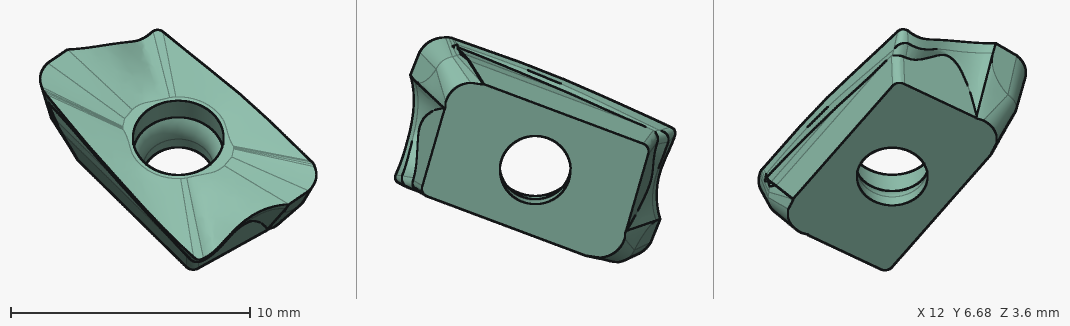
import cadquery as cq
import math


HEIGHT = 3.6
LENGTH = 12.0
WIDTH = 6.68
HALF_LENGTH = LENGTH / 2
HALF_WIDTH = WIDTH / 2

HUB_Z = 2.81
HUB_RADIUS = 2.09
HUB_REACH = 2.33

BORE_RADIUS = 1.48
SEAT_RADIUS = 1.9
SEAT_TOP_Z = 1.6
SEAT_BOTTOM_Z = 0.61
SEAT_STEP = SEAT_RADIUS - BORE_RADIUS
SEAT_ARC_RADIUS = ((SEAT_TOP_Z - SEAT_BOTTOM_Z)**2 + SEAT_STEP**2) / (2 * SEAT_STEP)

SIDE_Y_BOTTOM = 2.7
SIDE_Y_BREAK = 3.01
SIDE_Y_TOP = 3.06
SIDE_BREAK_Z = 1.58
SIDE_TOP_Z = 2.16
SIDE_LEAN = (SIDE_Y_BREAK - SIDE_Y_BOTTOM) / SIDE_BREAK_Z
END_X_MIDDLE = 4.39
END_TWIST = 0.09
END_LEAN = 0.24
SMALL_CORNER = 0.36
NOSE_END_Y = 1.1
NOSE_SIDE_X = 3.35
NOSE_SIDE_LEAN = 0.49

NOSE_X_BREAK = 5.28
NOSE_X_BOTTOM = 4.56
NOSE_BREAK_Z = 1.63
NOSE_RELIEF = (HALF_LENGTH - NOSE_X_BREAK) / (HEIGHT - NOSE_BREAK_Z)

INSET = 0.02
FLOOR_RADIUS = 1.2
CORE_DROP = 0.12
CUT_MARGIN = 0.6


def side_y(z):
    """Distance of the long core wall from the middle at height z."""
    if z <= SIDE_BREAK_Z:
        return SIDE_Y_BOTTOM + SIDE_LEAN * z
    rise = min(z, SIDE_TOP_Z) - SIDE_BREAK_Z
    return SIDE_Y_BREAK + (SIDE_Y_TOP - SIDE_Y_BREAK) * rise / (SIDE_TOP_Z - SIDE_BREAK_Z)


def end_x(y, z):
    """X of the +X end wall of the core, which leans outward and is slightly turned."""
    return END_X_MIDDLE + END_TWIST * y + END_LEAN * z


def nose_x(z):
    """X of the nose flank above its relief break."""
    return -HALF_LENGTH + NOSE_RELIEF * (HEIGHT - z)


def side_root(x, z):
    """Root of the rim just inside the -Y long wall."""
    return (x, INSET - side_y(z), z)


def end_root(y, z):
    """Root of the rim just inside the +X end wall."""
    return (end_x(y, z) - INSET, y, z)


def half_turn(point):
    return (-point[0], -point[1], point[2])


def curve(points):
    """Straight edge through two points, smooth edge through more."""
    vectors = [cq.Vector(*p) for p in points]
    if len(vectors) == 2:
        return cq.Edge.makeLine(*vectors)
    return cq.Edge.makeSpline(vectors)


def ring(spans):
    """Closed ring of edges from the spans of one half, each continuing to the start of the next."""
    starts = [span[0] for span in spans] + [half_turn(spans[0][0])]
    half = [span + [end] for span, end in zip(spans, starts[1:])]
    return [curve(s) for s in half] + [curve([half_turn(p) for p in s]) for s in half]


def ruled_solid(rings):
    """Solid of ruled faces between successive rings, closed by a flat face at both ends."""
    faces = []
    for upper, lower in zip(rings, rings[1:]):
        faces += [cq.Face.makeRuledSurface(a, b) for a, b in zip(upper, lower)]
    for end in (rings[0], rings[-1]):
        faces.append(cq.Face.makeFromWires(cq.Wire.assembleEdges(end)))
    shell = cq.Shell.makeShell(faces)
    return cq.Workplane(obj=cq.Solid.makeSolid(shell.fix()).fix())


cutting_edge = [
    [(-HALF_LENGTH, -1.02, HEIGHT)],
    [(-HALF_LENGTH, -2.1, HEIGHT), (-5.69, -2.77, HEIGHT)],
    [(-5.22, -3.08, HEIGHT)],
    [(-5.1, -3.13, HEIGHT)],
    [(-4.98, -3.15, HEIGHT)],
    [(-4.86, -3.17, 3.55), (-2.89, -3.28, 3.31), (-1.0, -3.34, 3.08), (0, -HALF_WIDTH, 2.96),
     (1.0, -3.34, 2.8), (2.98, -3.29, 2.5)],
    [(4.84, -3.19, 2.33), (5.05, -3.11, 2.3)],
    [(5.14, -2.9, 2.3), (5.14, -2.16, 2.34), (5.15, -1.68, 2.63), (5.18, -1.2, 2.95),
     (5.35, -0.3, 3.38), (5.55, 0.24, 3.53)],
]

rim_bottom = [
    [(nose_x(3.08), -1.01, 3.08), (nose_x(2.51), -1.14, 2.51), (nose_x(1.85), -1.74, 1.85)],
    [(-NOSE_X_BREAK, -2.16, NOSE_BREAK_Z), (-5.14, -2.63, NOSE_BREAK_Z)],
    [(-4.84, -2.9, 1.65)],
    [(-4.68, -2.99, 1.79)],
    [(-4.52, -3.06, 1.95)],
    [(-4.7, -3.11, 3.02), (-2.85, -3.18, 2.89), (-0.95, -3.23, 2.65), (1.05, -3.2, 2.3), (3.07, -3.12, 1.9)],
    [(4.38, -3.06, 1.65), (4.76, -2.98, 1.69)],
    [(4.92, -2.7, 1.76), (4.95, -2.16, 1.82), (4.98, -1.68, 2.1), (5.02, -1.25, 2.44),
     (5.17, -0.3, 2.87), (5.42, 0.42, 3.07)],
]

rim_root = [
    [half_turn(end_root(NOSE_END_Y, 0))],
    [(-NOSE_X_BOTTOM, -1.42, 0), (-4.37, -2.16, 0)],
    [(-3.89, -2.55, 0)],
    [side_root(-NOSE_SIDE_X, 0)],
    [side_root(-4.05, SIDE_BREAK_Z)],
    [side_root(-4.9, 2.78), side_root(0.08, 2.17), side_root(3.12, 1.6)],
    [side_root(4.08, 1.44), (4.39, -2.83, 1.39)],
    [end_root(-2.52, 1.42), end_root(-2.22, 1.46), end_root(-1.88, 1.65), end_root(-1.25, 2.18),
     end_root(-0.61, 2.52), end_root(-0.3, 2.41), end_root(0.24, 1.78), end_root(0.65, 1.01)],
]


def circle_point(radius, angle, z):
    a = math.radians(angle)
    return (radius * math.cos(a), radius * math.sin(a), z)


def hub_points(*angles):
    return [circle_point(HUB_RADIUS, angle, HUB_Z) for angle in angles]


hub = [
    [(-HUB_REACH, -0.56, HUB_Z)],
    [(-2.18, -1.09, HUB_Z)],
    [(-1.92, -1.42, HUB_Z)],
    [(-1.88, -1.44, HUB_Z)],
    [(-1.85, -1.48, HUB_Z)],
    [(-1.8, -1.5, HUB_Z)] + hub_points(-124, -107, -90, -72, -54),
    hub_points(-37),
    hub_points(-30, -17) + [(2.27, -0.05, HUB_Z)],
]

floor_angles = (-166, -162, -147, -144, -141, -138, -36, -28)
floor = [[circle_point(FLOOR_RADIUS, angle, 0)] for angle in floor_angles]

above = [[(x, y, HEIGHT + CUT_MARGIN) for x, y, z in span] for span in cutting_edge]


def core_section(z):
    """Outline of the core at height z: nose corners cut off, small corners rounded."""
    y = SIDE_Y_BOTTOM + SIDE_LEAN * z
    bulge = SMALL_CORNER * (1 - math.sqrt(0.5))
    half = [
        (-end_x(NOSE_END_Y, z), -NOSE_END_Y, z),
        (-NOSE_SIDE_X - NOSE_SIDE_LEAN * z, -y, z),
        (end_x(-y, z) - SMALL_CORNER, -y, z),
        (end_x(-y, z) - bulge, bulge - y, z),
        (end_x(-y, z), SMALL_CORNER - y, z),
    ]
    points = [cq.Vector(*p) for p in half + [half_turn(p) for p in half]]
    edges = []
    half_count = len(half)
    for i in (0, half_count):
        edges.append(cq.Edge.makeLine(points[i], points[i + 1]))
        edges.append(cq.Edge.makeLine(points[i + 1], points[i + 2]))
        edges.append(cq.Edge.makeThreePointArc(points[i + 2], points[i + 3], points[i + 4]))
        edges.append(cq.Edge.makeLine(points[i + 4], points[(i + half_count) % len(points)]))
    return cq.Wire.assembleEdges(edges)


def core():
    """Tapered block whose long sides are trimmed steeper above the break."""
    block = cq.Workplane(obj=cq.Solid.makeLoft([core_section(0), core_section(HEIGHT)], True))
    trim = (
        cq.Workplane("YZ")
        .polyline([
            (SIDE_Y_BREAK, SIDE_BREAK_Z),
            (SIDE_Y_TOP, SIDE_TOP_Z),
            (SIDE_Y_TOP, HEIGHT + CUT_MARGIN),
            (HALF_LENGTH, HEIGHT + CUT_MARGIN),
            (HALF_LENGTH, SIDE_BREAK_Z),
        ])
        .close()
        .extrude(HALF_LENGTH, both=True)
    )
    return block.cut(trim).cut(trim.rotate((0, 0, 0), (0, 0, 1), 180))


def screw_hole():
    return (
        cq.Workplane("XZ")
        .moveTo(0, -CUT_MARGIN)
        .lineTo(BORE_RADIUS, -CUT_MARGIN)
        .lineTo(BORE_RADIUS, SEAT_BOTTOM_Z)
        .radiusArc((SEAT_RADIUS, SEAT_TOP_Z), SEAT_ARC_RADIUS)
        .lineTo(SEAT_RADIUS, HEIGHT)
        .lineTo(0, HEIGHT)
        .close()
        .revolve(360, (0, 0, 0), (0, 1, 0))
    )


rim = ruled_solid([ring(hub), ring(cutting_edge), ring(rim_bottom), ring(rim_root), ring(floor)])
space_above = ruled_solid([ring(hub), ring(cutting_edge), ring(above)])
result = core().cut(space_above.translate((0, 0, -CORE_DROP))).union(rim).cut(screw_hole())